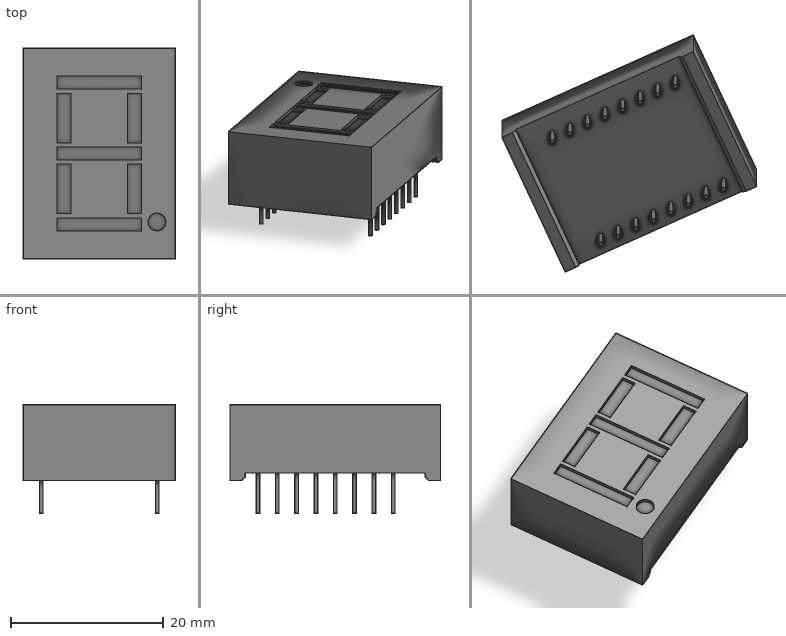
import cadquery as cq

body_width = 20.0
body_length = 27.7
total_height = 14.3
body_height = 10.0

foot_height = 1.0
foot_width = 2.02
foot_chamfer = 0.5

pin_diameter = 0.5
pins_per_row = 8
row_spacing = 15.24
pin_pitch = row_spacing / 6
first_pin_y = -4 * pin_pitch
pin_drop = total_height - body_height

digit_width = 11.08
bar_width = 1.75
bar_spacing = 9.33
upright_width = 1.85
upright_length = 6.5
dot_diameter = 2.33
dot_x = 7.6
dot_y = -9.0
recess_depth = 0.5


def make_body():
    """Solid block with the underside relieved between two chamfered feet."""
    half = body_length / 2
    inner = half - foot_width
    tip = inner + foot_chamfer
    return (
        cq.Workplane("YZ")
        .moveTo(-half, body_height)
        .lineTo(-half, 0)
        .lineTo(-tip, 0)
        .lineTo(-inner, foot_chamfer)
        .lineTo(-inner, foot_height)
        .lineTo(inner, foot_height)
        .lineTo(inner, foot_chamfer)
        .lineTo(tip, 0)
        .lineTo(half, 0)
        .lineTo(half, body_height)
        .close()
        .extrude(body_width / 2, both=True)
    )


def make_pins():
    """Pins hanging from the relieved underside."""
    spots = [
        (x, first_pin_y + i * pin_pitch)
        for x in (-row_spacing / 2, row_spacing / 2)
        for i in range(pins_per_row)
    ]
    return (
        cq.Workplane("XY", origin=(0, 0, -pin_drop))
        .pushPoints(spots)
        .circle(pin_diameter / 2)
        .extrude(pin_drop + foot_height)
    )


def make_recesses():
    """Cutters for the seven segments and the decimal point."""
    floor = cq.Workplane("XY", origin=(0, 0, body_height - recess_depth))
    bar_spots = [(0, y) for y in (-bar_spacing, 0, bar_spacing)]
    upright_x = (digit_width - upright_width) / 2
    upright_y = bar_spacing / 2
    upright_spots = [(x, y) for x in (-upright_x, upright_x) for y in (-upright_y, upright_y)]

    bars = floor.pushPoints(bar_spots).rect(digit_width, bar_width).extrude(recess_depth)
    uprights = floor.pushPoints(upright_spots).rect(upright_width, upright_length).extrude(recess_depth)
    dot = floor.center(dot_x, dot_y).circle(dot_diameter / 2).extrude(recess_depth)
    return bars.union(uprights).union(dot)


result = make_body().union(make_pins()).cut(make_recesses())